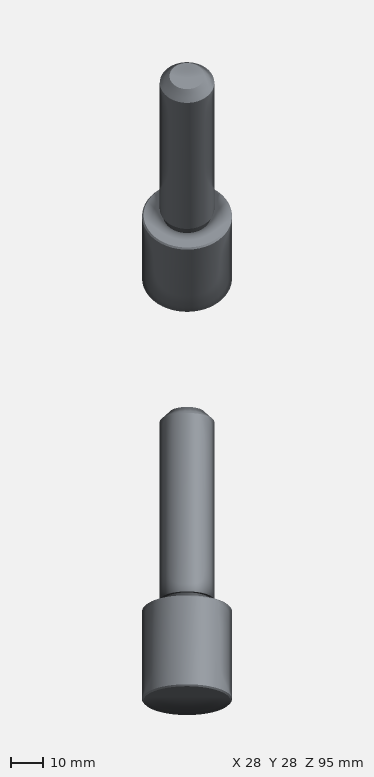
import cadquery as cq

total_height = 95.0
head_diameter = 28.0
head_height = 30.0
head_chamfer = 0.5

neck_diameter = 15.0
neck_height = 3.0

shank_diameter = 17.0
tip_chamfer = 3.0
shank_height = total_height - head_height - neck_height


def make_head():
    """Round head standing on the XY plane, both rims chamfered."""
    head = cq.Workplane("XY").circle(head_diameter / 2).extrude(head_height)
    return head.faces("<Z or >Z").chamfer(head_chamfer)


def make_neck():
    """Narrow relief on top of the head."""
    return (
        cq.Workplane("XY")
        .workplane(offset=head_height)
        .circle(neck_diameter / 2)
        .extrude(neck_height)
    )


def make_shank():
    """Long cylinder above the neck, chamfered at its free end."""
    return (
        cq.Workplane("XY")
        .workplane(offset=head_height + neck_height)
        .circle(shank_diameter / 2)
        .extrude(shank_height)
        .faces(">Z")
        .chamfer(tip_chamfer)
    )


result = make_head().union(make_neck()).union(make_shank())